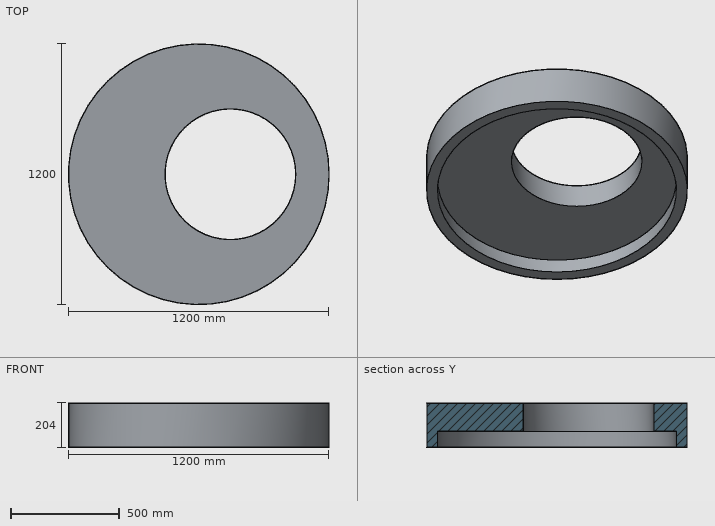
import cadquery as cq

outer_diameter = 1200.0
height = 204.0
plate_thickness = 130.0
rim_width = 50.0
opening_diameter = outer_diameter / 2
opening_offset = 145.0

recess_depth = height - plate_thickness
recess_diameter = outer_diameter - 2 * rim_width

slab = cq.Workplane("XY").circle(outer_diameter / 2).extrude(height)

recess = cq.Workplane("XY").circle(recess_diameter / 2).extrude(recess_depth)

opening = (
    cq.Workplane("XY")
    .center(opening_offset, 0)
    .circle(opening_diameter / 2)
    .extrude(height)
)

result = slab.cut(recess).cut(opening)